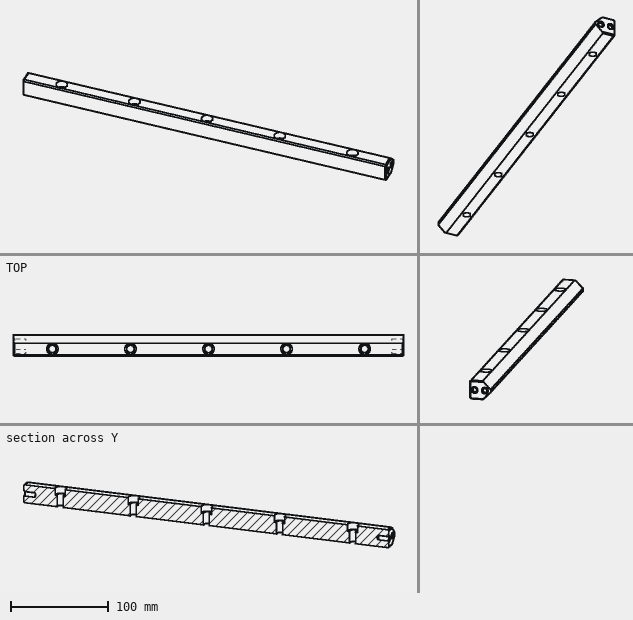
import cadquery as cq

length = 400.0
width = 22.0
height = 20.0
nose_flat = 3.0
nose_depth = (height - nose_flat) / 2
back_chamfer = 1.5
end_chamfer = 1.0

hole_count = 5
hole_pitch = 80.0
hole_diameter = 7.5
counterbore_diameter = 11.5
counterbore_depth = 7.0
hole_from_back = 7.5

end_hole_diameter = 4.5
end_hole_depth = 12.0
countersink_diameter = 7.0
drill_point_height = 1.0
end_holes_from_nose = (6.0, 17.0)

nose_y = width / 2
back_y = -width / 2
top_z = height / 2
end_x = length / 2


def rail_body():
    upper = [
        (back_y, top_z - back_chamfer),
        (back_y + back_chamfer, top_z),
        (nose_y - nose_depth, top_z),
        (nose_y, nose_flat / 2),
    ]
    lower = [(y, -z) for y, z in reversed(upper)]
    return cq.Workplane("YZ").polyline(upper + lower).close().extrude(end_x, both=True)


def bevel_ends(body):
    """Bevel the end edges of the top, bottom and back faces and of the chamfers between them."""
    behind_nose = cq.selectors.BoxSelector(
        (-length, -width, -height),
        (length, nose_y - nose_depth, height),
    )
    return body.faces("<X or >X").edges(behind_nose).chamfer(end_chamfer)


def mounting_holes(body):
    first_x = -hole_pitch * (hole_count - 1) / 2
    centers = [(first_x + i * hole_pitch, back_y + hole_from_back) for i in range(hole_count)]
    top_plane = cq.Workplane("XY", origin=(0, 0, top_z))
    return (
        body.copyWorkplane(top_plane)
        .pushPoints(centers)
        .cboreHole(hole_diameter, counterbore_diameter, counterbore_depth)
    )


def end_hole_cutter():
    """Hole profile revolved about X, opening at x = 0 and running toward +X."""
    hole_radius = end_hole_diameter / 2
    countersink_radius = countersink_diameter / 2
    countersink_depth = countersink_radius - hole_radius
    profile = [
        (0, 0),
        (0, countersink_radius),
        (countersink_depth, hole_radius),
        (end_hole_depth, hole_radius),
        (end_hole_depth + drill_point_height, 0),
    ]
    return cq.Workplane("XY").polyline(profile).close().revolve(360, (0, 0, 0), (1, 0, 0))


def end_holes(body):
    left_cutter = end_hole_cutter()
    for offset in end_holes_from_nose:
        left_hole = left_cutter.translate((-end_x, nose_y - offset, 0))
        body = body.cut(left_hole).cut(left_hole.mirror("YZ"))
    return body


result = end_holes(mounting_holes(bevel_ends(rail_body())))